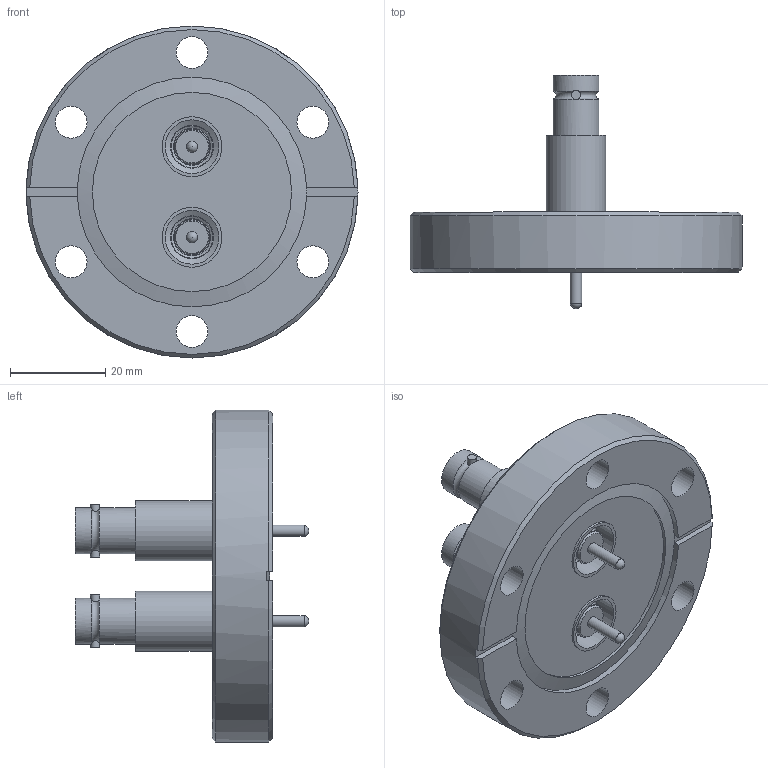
import cadquery as cq

FLANGE_RADIUS = 69.85 / 2
FLANGE_THICKNESS = 12.7
FLANGE_CHAMFER = 0.76

BOLT_COUNT = 6
FIRST_BOLT_ANGLE = 90
BOLT_CIRCLE_RADIUS = 58.72 / 2
BOLT_HOLE_DIAMETER = 6.7

RECESS_RADIUS = 48.3 / 2
KNIFE_RADIUS = 41.9 / 2
KNIFE_DEPTH = 0.6
RECESS_DEPTH = 1.25
FLOOR_DEPTH = RECESS_DEPTH

LEAK_GROOVE_WIDTH = 1.9
LEAK_GROOVE_DEPTH = RECESS_DEPTH

CONNECTOR_OFFSET = 19.05 / 2
SLEEVE_RADIUS = 6.3
SLEEVE_FRONT = 0.75
SLEEVE_END = 28.85
PLUG_RADIUS = 4.82
CONNECTOR_LENGTH = 49.15
PIN_PROTRUSION = 7.62
PLUG_END = CONNECTOR_LENGTH - PIN_PROTRUSION

LOCK_GROOVE_START = 36.45
LOCK_GROOVE_END = 38.15
LOCK_GROOVE_DEPTH = 0.65
LUG_RADIUS = 0.97
LUG_CENTER = 37.35
LUG_REACH = 5.54

BORE_RADIUS = 5.65
BORE_DEPTH = 6.0
CONE_END_RADIUS = 4.5
THROAT_RADIUS = 4.4
FUNNEL_END_RADIUS = 3.9
CONE_LENGTH = 0.66
THROAT_LENGTH = 0.29

BOSS_FACE_RADIUS = 3.42
BOSS_SHOULDER_RADIUS = 3.62
BOSS_BASE_RADIUS = 3.78
BOSS_FRONT = 1.7
BOSS_SHOULDER = 2.2
PIN_RADIUS = 1.2
PIN_NOSE_LENGTH = 1.0


def revolve_about_y(points):
    """Solid of revolution about the Y axis from (radius, y) points."""
    return cq.Workplane("XY").polyline(points).close().revolve(360, (0, 0, 0), (0, 1, 0))


def make_flange():
    flange = revolve_about_y([
        (0, FLOOR_DEPTH),
        (KNIFE_RADIUS, FLOOR_DEPTH),
        (KNIFE_RADIUS, KNIFE_DEPTH),
        (RECESS_RADIUS, RECESS_DEPTH),
        (RECESS_RADIUS, 0),
        (FLANGE_RADIUS - FLANGE_CHAMFER, 0),
        (FLANGE_RADIUS, FLANGE_CHAMFER),
        (FLANGE_RADIUS, FLANGE_THICKNESS - FLANGE_CHAMFER),
        (FLANGE_RADIUS - FLANGE_CHAMFER, FLANGE_THICKNESS),
        (0, FLANGE_THICKNESS),
    ])
    bolt_holes = (
        cq.Workplane("XZ")
        .polarArray(BOLT_CIRCLE_RADIUS, FIRST_BOLT_ANGLE, 360, BOLT_COUNT)
        .circle(BOLT_HOLE_DIAMETER / 2)
        .extrude(-FLANGE_THICKNESS)
    )
    return flange.cut(bolt_holes).cut(make_leak_grooves())


def make_leak_grooves():
    bar = cq.Workplane("XY").box(
        2 * FLANGE_RADIUS, LEAK_GROOVE_DEPTH, LEAK_GROOVE_WIDTH, centered=(True, False, True)
    )
    recess = cq.Workplane("XZ").circle(RECESS_RADIUS).extrude(-FLANGE_THICKNESS)
    return bar.cut(recess)


def make_connector_body():
    body = revolve_about_y([
        (0, SLEEVE_FRONT),
        (SLEEVE_RADIUS, SLEEVE_FRONT),
        (SLEEVE_RADIUS, SLEEVE_END),
        (PLUG_RADIUS, SLEEVE_END),
        (PLUG_RADIUS, PLUG_END),
        (0, PLUG_END),
    ])
    lugs = (
        cq.Workplane("XY", origin=(0, LUG_CENTER, -LUG_REACH))
        .circle(LUG_RADIUS)
        .extrude(2 * LUG_REACH)
    )
    return body.cut(make_lock_groove()).union(lugs)


def make_lock_groove():
    bottom = (PLUG_RADIUS - LOCK_GROOVE_DEPTH, (LOCK_GROOVE_START + LOCK_GROOVE_END) / 2)
    return (
        cq.Workplane("XY")
        .moveTo(PLUG_RADIUS, LOCK_GROOVE_START)
        .threePointArc(bottom, (PLUG_RADIUS, LOCK_GROOVE_END))
        .close()
        .revolve(360, (0, 0, 0), (0, 1, 0))
    )


def make_bore():
    cone_end = BORE_DEPTH + CONE_LENGTH
    funnel_end = cone_end + THROAT_LENGTH
    return revolve_about_y([
        (0, SLEEVE_FRONT),
        (BORE_RADIUS, SLEEVE_FRONT),
        (BORE_RADIUS, BORE_DEPTH),
        (CONE_END_RADIUS, cone_end),
        (THROAT_RADIUS, cone_end),
        (FUNNEL_END_RADIUS, funnel_end),
        (0, funnel_end),
    ])


def make_contact():
    boss = revolve_about_y([
        (0, BOSS_FRONT),
        (BOSS_FACE_RADIUS, BOSS_FRONT),
        (BOSS_SHOULDER_RADIUS, BOSS_SHOULDER),
        (BOSS_BASE_RADIUS, BOSS_SHOULDER),
        (BOSS_BASE_RADIUS, SLEEVE_END),
        (0, SLEEVE_END),
    ])
    nose_start = PIN_NOSE_LENGTH - PIN_PROTRUSION
    nose_arc_radius = (PIN_RADIUS**2 + PIN_NOSE_LENGTH**2) / (2 * PIN_NOSE_LENGTH)
    pin = (
        cq.Workplane("XY")
        .moveTo(0, SLEEVE_END)
        .lineTo(PIN_RADIUS, SLEEVE_END)
        .lineTo(PIN_RADIUS, nose_start)
        .radiusArc((0, -PIN_PROTRUSION), nose_arc_radius)
        .close()
        .revolve(360, (0, 0, 0), (0, 1, 0))
    )
    return boss.union(pin)


result = make_flange()
for side in (-1, 1):
    place = (0, 0, side * CONNECTOR_OFFSET)
    result = result.union(make_connector_body().translate(place))
    result = result.cut(make_bore().translate(place))
    result = result.union(make_contact().translate(place))